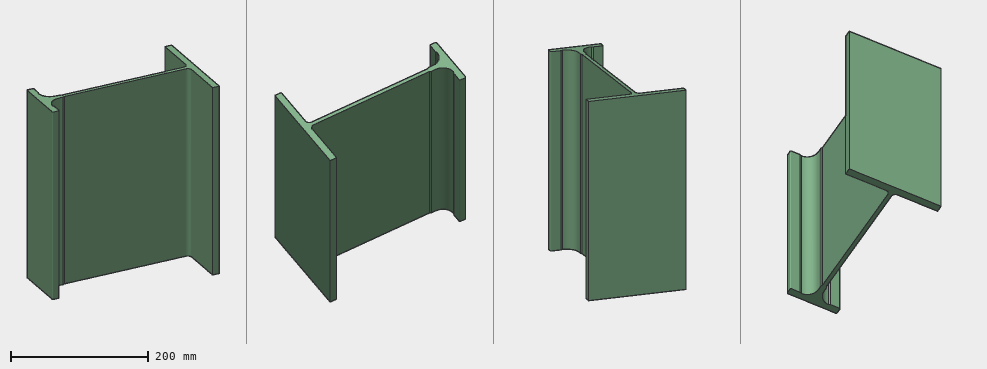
import cadquery as cq
import math

length = 304.8
depth = 255.59

wide_flange_width = 152.4
wide_flange_thickness = 11.1125
web_thickness = 6.35
web_fillet = 6.35

rail_width = 82.55
rail_thickness = 11.1125
rail_edge_radius = 1.5875

stem_top_y = 39.0
step_end_y = 36.3
step_end_half_width = 4.45
bead_end_y = 32.85
bead_end_half_width = 4.2
bead_bulge = 0.15
stem_taper_angle = 4.5
cove_start_y = 26.6

trough_depth = 1.2
trough_ramp_end_x = 25.4


def half_profile():
    """Half of the section on the +X side, from the rail face up to the wide flange, closed on X = 0."""
    half_web = web_thickness / 2
    half_rail = rail_width / 2
    half_wide = wide_flange_width / 2
    wide_inner_y = depth - wide_flange_thickness
    trough_y = rail_thickness - trough_depth

    taper = math.radians(stem_taper_angle)
    cove_start_x = bead_end_half_width + (bead_end_y - cove_start_y) * math.tan(taper)
    cove_radius = (cove_start_y - trough_y) / (1 - math.sin(taper))
    trough_x = cove_start_x + cove_radius * math.cos(taper)

    bead_mid_x = (step_end_half_width + bead_end_half_width) / 2 + bead_bulge
    bead_mid_y = (step_end_y + bead_end_y) / 2

    return (
        cq.Workplane("XY")
        .moveTo(0, 0)
        .lineTo(half_rail - rail_edge_radius, 0)
        .radiusArc((half_rail, rail_edge_radius), -rail_edge_radius)
        .lineTo(half_rail, rail_thickness - rail_edge_radius)
        .radiusArc((half_rail - rail_edge_radius, rail_thickness), -rail_edge_radius)
        .lineTo(trough_ramp_end_x, rail_thickness)
        .lineTo(trough_x, trough_y)
        .radiusArc((cove_start_x, cove_start_y), cove_radius)
        .lineTo(bead_end_half_width, bead_end_y)
        .threePointArc((bead_mid_x, bead_mid_y), (step_end_half_width, step_end_y))
        .lineTo(half_web, stem_top_y)
        .lineTo(half_web, wide_inner_y - web_fillet)
        .radiusArc((half_web + web_fillet, wide_inner_y), web_fillet)
        .lineTo(half_wide, wide_inner_y)
        .lineTo(half_wide, depth)
        .lineTo(0, depth)
        .close()
    )


half_beam = half_profile().extrude(length)
result = half_beam.union(half_beam.mirror("YZ")).clean()